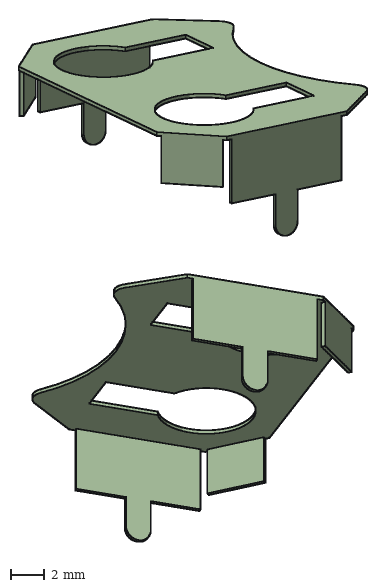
import math

import cadquery as cq

thickness = 0.25
plate_width = 21.2
plate_depth = 15.3
total_height = 7.15
half_width = plate_width / 2

front_chamfer = 3.05
side_end_y = 11.8
scoop_radius = 10.2
scoop_bottom_y = 12.6
horn_radius = 1.0

keyhole_spacing = 11.0
keyhole_radius = 3.0
keyhole_y = 4.8
keyhole_slot_width = 3.0

wall_length = 8.0
wall_bottom_z = -4.35
wall_y = (front_chamfer + side_end_y) / 2
pin_width = 1.6

tab_width = 3.8
tab_bottom_z = -3.25


def mirror_x(point):
    return (-point[0], point[1])


def polar(center, radius, angle):
    return (center[0] + radius * math.cos(angle), center[1] + radius * math.sin(angle))


def make_plate():
    """Plate with chamfered front corners and a rear scoop between two rounded horns."""
    side_end = (half_width, side_end_y)
    scoop_center_y = scoop_bottom_y + scoop_radius

    horn_y = plate_depth - horn_radius
    horn_x = math.sqrt((scoop_radius + horn_radius) ** 2 - (scoop_center_y - horn_y) ** 2)
    horn_center = (horn_x, horn_y)

    to_side_x = half_width - horn_x
    to_side_y = side_end_y - horn_y
    side_direction = math.atan2(to_side_y, to_side_x)
    tangent_turn = math.acos(horn_radius / math.hypot(to_side_x, to_side_y))
    horn_start = polar(horn_center, horn_radius, side_direction + tangent_turn)
    horn_tip = (horn_x, plate_depth)
    scoop_direction = math.atan2(scoop_center_y - horn_y, -horn_x)
    horn_end = polar(horn_center, horn_radius, scoop_direction)

    return (
        cq.Workplane("XY")
        .workplane(offset=-thickness)
        .moveTo(half_width - front_chamfer, 0)
        .lineTo(half_width, front_chamfer)
        .lineTo(*side_end)
        .lineTo(*horn_start)
        .threePointArc(horn_tip, horn_end)
        .threePointArc((0, scoop_bottom_y), mirror_x(horn_end))
        .threePointArc(mirror_x(horn_tip), mirror_x(horn_start))
        .lineTo(*mirror_x(side_end))
        .lineTo(-half_width, front_chamfer)
        .lineTo(front_chamfer - half_width, 0)
        .close()
        .extrude(thickness)
    )


def make_keyhole(center_x):
    """Round opening with a straight slot running towards the rear."""
    base = cq.Workplane("XY").workplane(offset=-thickness)
    slot_length = side_end_y - keyhole_y
    opening = base.center(center_x, keyhole_y).circle(keyhole_radius).extrude(thickness)
    slot = (
        base.center(center_x, keyhole_y + slot_length / 2)
        .rect(keyhole_slot_width, slot_length)
        .extrude(thickness)
    )
    return opening.union(slot)


def make_side_wall():
    """Wall along the +X edge, with a round-ended pin below its middle."""
    wall_front_y = wall_y - wall_length / 2
    wall_rear_y = wall_y + wall_length / 2
    pin_front_y = wall_y - pin_width / 2
    pin_rear_y = wall_y + pin_width / 2
    pin_round_z = -total_height + pin_width / 2
    return (
        cq.Workplane("YZ")
        .workplane(offset=half_width - thickness)
        .moveTo(wall_front_y, 0)
        .lineTo(wall_front_y, wall_bottom_z)
        .lineTo(pin_front_y, wall_bottom_z)
        .lineTo(pin_front_y, pin_round_z)
        .threePointArc((wall_y, -total_height), (pin_rear_y, pin_round_z))
        .lineTo(pin_rear_y, wall_bottom_z)
        .lineTo(wall_rear_y, wall_bottom_z)
        .lineTo(wall_rear_y, 0)
        .close()
        .extrude(thickness)
    )


def make_corner_tab():
    """Tab whose outer face is flush with the +X front chamfer."""
    tab_height = -tab_bottom_z
    chamfer_middle = (half_width - front_chamfer / 2, front_chamfer / 2, 0)
    return (
        cq.Workplane("XY")
        .box(tab_width, thickness, tab_height, centered=(True, False, False))
        .rotate((0, 0, 0), (0, 0, 1), 45)
        .translate(chamfer_middle)
        .translate((0, 0, tab_bottom_z))
    )


result = make_plate()
for keyhole_x in (-keyhole_spacing / 2, keyhole_spacing / 2):
    result = result.cut(make_keyhole(keyhole_x))
for folded_part in (make_side_wall(), make_corner_tab()):
    result = result.union(folded_part).union(folded_part.mirror("YZ"))